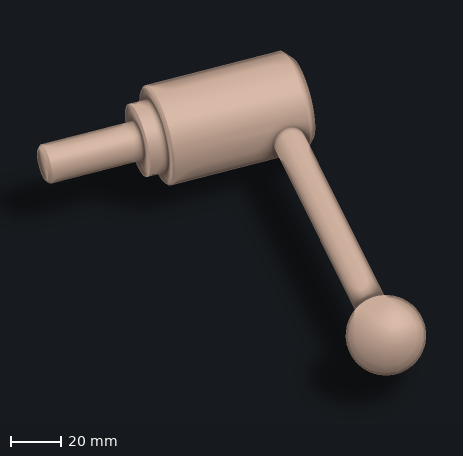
import cadquery as cq

total_length = 171.0
hub_diameter = 41.0
hub_length = 61.0
hub_back_chamfer = 3.6
hub_front_chamfer = 0.9
collar_diameter = 30.0
collar_length = 7.7
stud_diameter = 16.0
stud_length = 40.0
stud_chamfer = 1.4
rod_diameter = 13.0
rod_axis_depth = 12.3
ball_diameter = 32.0
ball_flat_offset = 12.7

hub_radius = hub_diameter / 2
ball_radius = ball_diameter / 2
ball_center_x = total_length - hub_radius - ball_radius
ball_flat_x = ball_center_x - ball_flat_offset


def cylinder_toward_front(diameter, start_depth, length):
    """Cylinder on the hub axis, extending toward -Y from the given depth."""
    plane = cq.Workplane("XZ", origin=(0, -start_depth, 0))
    return plane.circle(diameter / 2).extrude(length)


hub = cylinder_toward_front(hub_diameter, 0, hub_length)
hub = hub.faces(">Y").chamfer(hub_back_chamfer)
hub = hub.faces("<Y").chamfer(hub_front_chamfer)

collar = cylinder_toward_front(collar_diameter, hub_length, collar_length)
stud = cylinder_toward_front(stud_diameter, hub_length + collar_length, stud_length)
stud = stud.faces("<Y").chamfer(stud_chamfer)

rod = (
    cq.Workplane("YZ", origin=(0, -rod_axis_depth, 0))
    .circle(rod_diameter / 2)
    .extrude(ball_center_x)
)

ball = cq.Workplane("XY").sphere(ball_radius).translate((ball_center_x, -rod_axis_depth, 0))
flat_side = cq.Workplane("XY").box(
    ball_diameter, ball_diameter, ball_diameter
).translate((ball_flat_x - ball_radius, -rod_axis_depth, 0))
ball = ball.cut(flat_side)

result = hub.union(collar).union(stud).union(rod).union(ball)